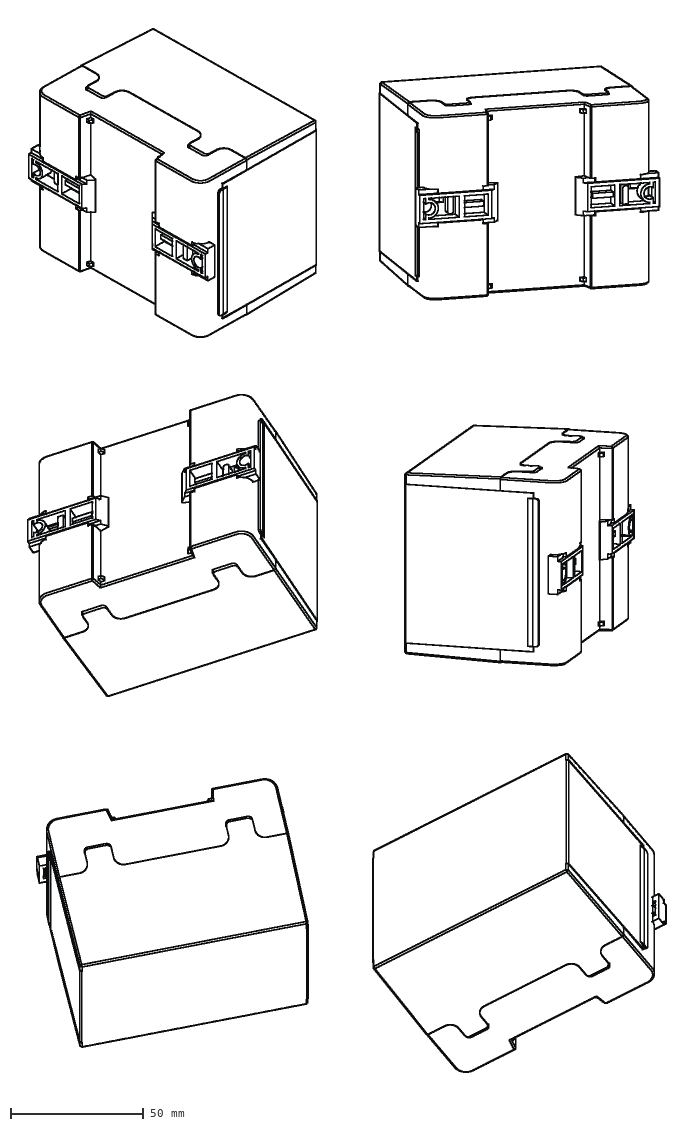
import cadquery as cq
import math

TOTAL_X = 95.0
TOTAL_Y = 63.0
TOTAL_Z = 72.5
FRONT_Y = -TOTAL_Y / 2
BACK_Y = TOTAL_Y / 2
EDGE_CHAMFER = 0.7

BASE_HALF_X = 44.65
BASE_HALF_Z = 35.8
BASE_FRONT_Y = -31.35
BASE_CORNER_R = 5.0
CHANNEL_FLOOR_Y = -26.5
CHANNEL_FLOOR_HALF_X = 19.2
CHANNEL_MOUTH_HALF_X = 20.1
MOUTH_BEVEL_X = 0.6
MOUTH_BEVEL_Y = 0.3
NUB_Z = 32.8
NUB_HEIGHT = 1.4
NUB_TIP_HALF_X = 17.5
NUB_SHOULDER_HALF_X = 18.3
NUB_FRONT_Y = -28.2
NUB_SHOULDER_Y = -27.1

SEAM_Y = -6.65
COVER_BACK_HALF_X = 44.3
COVER_BACK_HALF_Z = 35.1
WALL = 1.5
TAB_X = 27.4
TAB_HALF_WIDTH = 5.1
TAB_END_Y = -15.9
TAB_CORNER_R = 1.6
TAB_FLARE_R = 3.8
TAB_GAP = 0.95
PLATE_HALF_X = 45.0
PLATE_HALF_Z = 30.8
PLATE_RISE = 0.2
PLATE_END_Y = -19.8

RIDGE_HALF_X = 45.4
RIDGE_HALF_Z = 28.7
RIDGE_START_Y = -17.5
RIDGE_CREST_Y = -18.7
RIDGE_END_Y = -21.9
RIDGE_CORNER_R = 1.1

CLIP_OUTER_X = -TOTAL_X / 2
CLIP_INNER_X = -19.0
CLIP_HALF_Z = 7.3
CLIP_FRAME_HALF_Z = 5.5
CLIP_STEP_Y = -30.1
OUTER_WING_END_X = -40.0
INNER_WING_START_X = -22.3
HOOK_TIP_X = -15.4
HOOK_TIP_BACK_Y = -27.5
GUIDE_CLEARANCE = 0.3
WINDOW_HALF_Z = 4.1
SLOT_X = -45.9
STRIP_X = -45.0
RING_X = -43.7
RING_OUTER_R = 3.6
RING_INNER_R = 2.4
OUTER_WINDOW_END_X = -31.8
INNER_WINDOW_START_X = -29.7
INNER_WINDOW_END_X = -20.4
RIB_SETBACK = 2.0
CROSS_RIB_X = -34.7
CROSS_RIB_WIDTH = 2.2
CROSS_RIB_END_Z = -3.0
CROSS_RIB_R = 0.9
LONG_RIB_END_X = -21.6
LONG_RIB_WIDTH = 1.9

POCKET_START_X = -41.4
POCKET_RAMP_X = -37.8
POCKET_END_X = -36.7
POCKET_LOW_Z = 0.95
POCKET_HIGH_Z = 3.4
POCKET_DEPTH = 1.1


def box(x0, x1, y0, y1, z0, z1):
    """Axis-aligned block between the given limits."""
    return cq.Workplane("XY").box(x1 - x0, y1 - y0, z1 - z0, centered=False).translate((x0, y0, z0))


def prism(points, half_z):
    """Closed outline in the XY plane extruded symmetrically along Z."""
    return cq.Workplane("XY").polyline(points).close().extrude(half_z, both=True)


def both_sides(shape):
    """The shape together with its mirror image across the YZ plane."""
    return shape.union(shape.mirror("YZ"))


def drafted_block(side_inset):
    """Block that widens from the back of the cover to the front ends of its tabs and plates."""
    length = BACK_Y - PLATE_END_Y
    front_half_z = COVER_BACK_HALF_Z + (
        (TOTAL_Z / 2 - COVER_BACK_HALF_Z) * length / (BACK_Y - TAB_END_Y)
    )
    block = (
        cq.Workplane("XZ", origin=(0, BACK_Y, 0))
        .rect(2 * (COVER_BACK_HALF_X - side_inset), 2 * COVER_BACK_HALF_Z)
        .workplane(offset=length)
        .rect(2 * (PLATE_HALF_X - side_inset), 2 * front_half_z)
        .loft(ruled=True)
    )
    return block.edges("not <Y").chamfer(EDGE_CHAMFER)


def tab_outline(end_y):
    """Full-height prism with the outline of one flared latch tab."""
    corner_shift = TAB_CORNER_R * math.sqrt(0.5)
    flare_shift = TAB_FLARE_R * math.sqrt(0.5)
    side = TAB_HALF_WIDTH
    corner_x = side - TAB_CORNER_R
    corner_y = end_y + TAB_CORNER_R
    flare_x = side + TAB_FLARE_R
    flare_y = SEAM_Y - TAB_FLARE_R
    return (
        cq.Workplane("XY")
        .moveTo(-flare_x, SEAM_Y)
        .threePointArc((-flare_x + flare_shift, flare_y + flare_shift), (-side, flare_y))
        .lineTo(-side, corner_y)
        .threePointArc((-corner_x - corner_shift, corner_y - corner_shift), (-corner_x, end_y))
        .lineTo(corner_x, end_y)
        .threePointArc((corner_x + corner_shift, corner_y - corner_shift), (side, corner_y))
        .lineTo(side, flare_y)
        .threePointArc((flare_x - flare_shift, flare_y + flare_shift), (flare_x, SEAM_Y))
        .close()
        .extrude(TOTAL_Z, both=True)
        .translate((-TAB_X, 0, 0))
    )


def tabs(end_y, inner_z):
    """Four latch tab prisms that lie farther than inner_z from the mid plane."""
    core = box(-TOTAL_X, TOTAL_X, -TOTAL_Y, TOTAL_Y, -inner_z, inner_z)
    return both_sides(tab_outline(end_y)).cut(core)


def make_cover():
    """Drafted shell with raised side plates and latch tabs that reach over the base."""
    shell = box(-TOTAL_X, TOTAL_X, SEAM_Y, TOTAL_Y, -TOTAL_Z, TOTAL_Z)
    shell = shell.union(tabs(TAB_END_Y, BASE_HALF_Z - WALL)).intersect(drafted_block(PLATE_RISE))
    plate = box(
        -TOTAL_X, -BASE_HALF_X + WALL, PLATE_END_Y, TOTAL_Y, -PLATE_HALF_Z, PLATE_HALF_Z
    )
    plates = both_sides(plate).intersect(drafted_block(0))
    ridge = prism(
        [
            (-BASE_HALF_X, RIDGE_START_Y),
            (-PLATE_HALF_X, RIDGE_START_Y),
            (-RIDGE_HALF_X, RIDGE_CREST_Y),
            (-RIDGE_HALF_X, PLATE_END_Y),
            (-BASE_HALF_X, PLATE_END_Y),
        ],
        RIDGE_HALF_Z,
    )
    return shell.union(plates).union(both_sides(ridge))


def base_block():
    """Extruded base with corner rounds, rail channel and chamfered ends."""
    overlap_y = SEAM_Y + 2 * EDGE_CHAMFER
    bevel_x = CHANNEL_MOUTH_HALF_X + MOUTH_BEVEL_X
    bevel_y = BASE_FRONT_Y + MOUTH_BEVEL_Y
    corner_x = BASE_HALF_X - BASE_CORNER_R
    corner_y = BASE_FRONT_Y + BASE_CORNER_R
    shift = BASE_CORNER_R * math.sqrt(0.5)
    block = (
        cq.Workplane("XY")
        .moveTo(-BASE_HALF_X, overlap_y)
        .lineTo(-BASE_HALF_X, corner_y)
        .threePointArc((-corner_x - shift, corner_y - shift), (-corner_x, BASE_FRONT_Y))
        .lineTo(-bevel_x, BASE_FRONT_Y)
        .lineTo(-CHANNEL_MOUTH_HALF_X, bevel_y)
        .lineTo(-CHANNEL_FLOOR_HALF_X, CHANNEL_FLOOR_Y)
        .lineTo(CHANNEL_FLOOR_HALF_X, CHANNEL_FLOOR_Y)
        .lineTo(CHANNEL_MOUTH_HALF_X, bevel_y)
        .lineTo(bevel_x, BASE_FRONT_Y)
        .lineTo(corner_x, BASE_FRONT_Y)
        .threePointArc((corner_x + shift, corner_y - shift), (BASE_HALF_X, corner_y))
        .lineTo(BASE_HALF_X, overlap_y)
        .close()
        .extrude(BASE_HALF_Z, both=True)
        .faces("|Z")
        .edges()
        .chamfer(EDGE_CHAMFER)
    )
    return block.cut(box(-TOTAL_X, TOTAL_X, SEAM_Y, TOTAL_Y, -TOTAL_Z, TOTAL_Z))


def base_ridge():
    """Front half of the grip ridge, rounded at its two front corners."""
    ridge = box(
        -RIDGE_HALF_X, -BASE_HALF_X, RIDGE_END_Y, PLATE_END_Y, -RIDGE_HALF_Z, RIDGE_HALF_Z
    )
    return ridge.edges("|X and <Y").fillet(RIDGE_CORNER_R)


def rail_nub(z):
    """Small bevelled stop in the corner between channel wall and channel floor."""
    outline = [
        (-CHANNEL_MOUTH_HALF_X, CHANNEL_FLOOR_Y),
        (-CHANNEL_MOUTH_HALF_X, NUB_FRONT_Y),
        (-NUB_SHOULDER_HALF_X, NUB_FRONT_Y),
        (-NUB_TIP_HALF_X, NUB_SHOULDER_Y),
        (-NUB_TIP_HALF_X, CHANNEL_FLOOR_Y),
    ]
    return prism(outline, NUB_HEIGHT / 2).translate((0, 0, z))


def clip_recess():
    """Open recess for the -X clip, stepped to suit its wings, with the ramped floor pocket."""
    guide_half_z = CLIP_FRAME_HALF_Z + GUIDE_CLEARANCE
    end_x = -CHANNEL_FLOOR_HALF_X
    recess = box(
        CLIP_OUTER_X, end_x, -TOTAL_Y, CHANNEL_FLOOR_Y, -guide_half_z, guide_half_z
    )
    for x0, x1 in ((CLIP_OUTER_X, OUTER_WING_END_X), (INNER_WING_START_X, end_x)):
        wing = box(x0, x1, -TOTAL_Y, CHANNEL_FLOOR_Y, -CLIP_HALF_Z, CLIP_HALF_Z)
        recess = recess.union(wing)
    pocket = (
        cq.Workplane("XY", origin=(0, 0, POCKET_LOW_Z))
        .moveTo(POCKET_START_X, CHANNEL_FLOOR_Y)
        .lineTo(POCKET_END_X, CHANNEL_FLOOR_Y)
        .lineTo(POCKET_RAMP_X, CHANNEL_FLOOR_Y + POCKET_DEPTH)
        .lineTo(POCKET_START_X, CHANNEL_FLOOR_Y + POCKET_DEPTH)
        .close()
        .extrude(POCKET_HIGH_Z - POCKET_LOW_Z)
    )
    return recess.union(pocket)


def make_base(cover):
    """Base with rail stops and clip recesses, hollowed where the cover fits over it."""
    base = base_block().union(both_sides(base_ridge()))
    for z in (-NUB_Z, NUB_Z):
        base = base.union(both_sides(rail_nub(z)))
    base = base.cut(both_sides(clip_recess()))
    return base.cut(tabs(TAB_END_Y - TAB_GAP, BASE_HALF_Z - WALL)).cut(cover)


def clip_blank():
    """Hooked bar with a proud frame in front and wings at both ends."""
    blank = prism(
        [
            (CLIP_OUTER_X, FRONT_Y),
            (CLIP_INNER_X, FRONT_Y),
            (HOOK_TIP_X, FRONT_Y + HOOK_TIP_X - CLIP_INNER_X),
            (HOOK_TIP_X, HOOK_TIP_BACK_Y),
            (-CHANNEL_FLOOR_HALF_X, CHANNEL_FLOOR_Y),
            (CLIP_OUTER_X, CHANNEL_FLOOR_Y),
        ],
        CLIP_HALF_Z,
    )
    for z0, z1 in ((CLIP_FRAME_HALF_Z, TOTAL_Z), (-TOTAL_Z, -CLIP_FRAME_HALF_Z)):
        blank = blank.cut(box(CLIP_OUTER_X, 0, -TOTAL_Y, CLIP_STEP_Y, z0, z1))
        blank = blank.cut(box(OUTER_WING_END_X, INNER_WING_START_X, -TOTAL_Y, 0, z0, z1))
    return blank


def clip_window(x0, x1):
    """Through window of the clip between two X limits."""
    return box(x0, x1, -TOTAL_Y, 0, -WINDOW_HALF_Z, WINDOW_HALF_Z)


def screw_ring():
    """Strip across the outer window with a half ring, its bore open to the slot beside it."""
    strip = box(STRIP_X, RING_X, FRONT_Y, CHANNEL_FLOOR_Y, -WINDOW_HALF_Z, WINDOW_HALF_Z)
    at_front = cq.Workplane("XZ", origin=(RING_X, FRONT_Y, 0))
    length = FRONT_Y - CHANNEL_FLOOR_Y
    disc = at_front.circle(RING_OUTER_R).extrude(length)
    half_disc = disc.cut(box(-TOTAL_X, STRIP_X, -TOTAL_Y, 0, -TOTAL_Z, TOTAL_Z))
    return strip.union(half_disc).cut(at_front.circle(RING_INNER_R).extrude(length))


def cross_rib():
    """Upright rib that hangs from one side of the outer window."""
    rib = box(
        CROSS_RIB_X - CROSS_RIB_WIDTH / 2,
        CROSS_RIB_X + CROSS_RIB_WIDTH / 2,
        FRONT_Y + RIB_SETBACK,
        CHANNEL_FLOOR_Y,
        CROSS_RIB_END_Z,
        WINDOW_HALF_Z,
    )
    return rib.edges("|Y and <Z").fillet(CROSS_RIB_R)


def long_rib():
    """Lengthwise rib in the inner window."""
    return box(
        INNER_WINDOW_START_X,
        LONG_RIB_END_X,
        FRONT_Y + RIB_SETBACK,
        CHANNEL_FLOOR_Y,
        -LONG_RIB_WIDTH / 2,
        LONG_RIB_WIDTH / 2,
    )


def make_clip(turn):
    """Rail clip at -X, turned by the given angle about the Y axis."""
    clip = (
        clip_blank()
        .cut(clip_window(SLOT_X, OUTER_WINDOW_END_X))
        .cut(clip_window(INNER_WINDOW_START_X, INNER_WINDOW_END_X))
        .union(screw_ring())
        .union(cross_rib())
        .union(long_rib())
    )
    return clip.rotate((0, 0, 0), (0, 1, 0), turn)


cover = make_cover()
base = make_base(cover)
clips = [make_clip(turn).val() for turn in (0, 180)]

result = cq.Compound.makeCompound([base.val(), cover.val(), *clips])